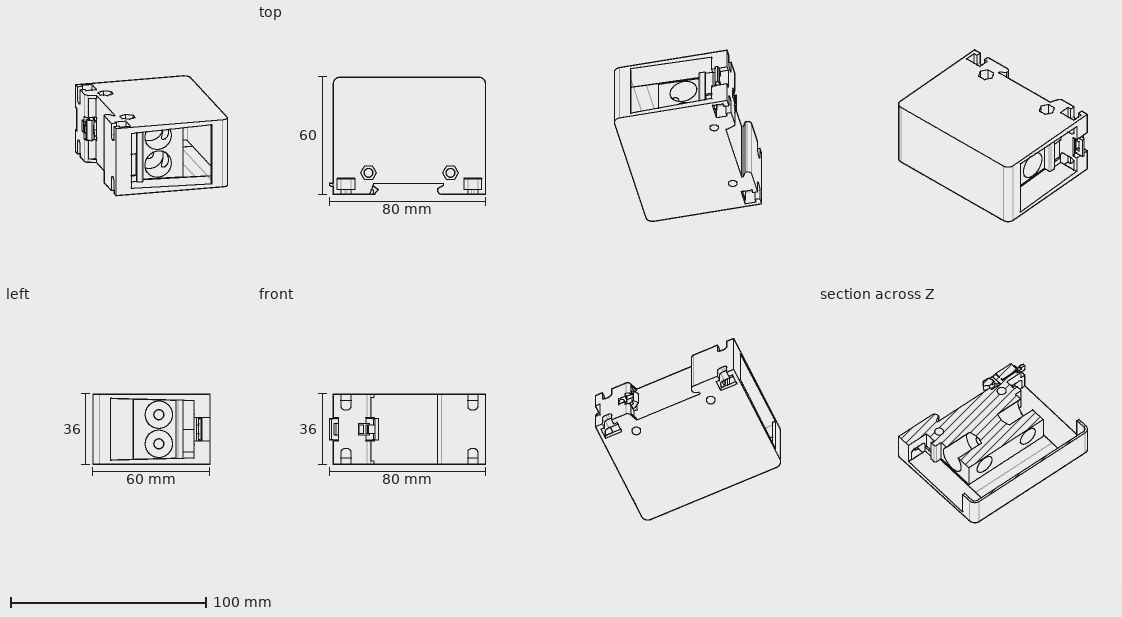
import cadquery as cq
import math

LENGTH = 78.0
HEIGHT = 60.0
WIDTH = 36.0
MID_X = LENGTH / 2
MID_Z = WIDTH / 2
LID_CORNER_R = 3.5
LID_WALL = 1.5
LID_BOTTOM = 50.85

RAIL_DEPTH = 5.45
RAIL_LEFT = 20.8
RAIL_RIGHT = 56.4
RAIL_LEFT_AT_BASE = 18.7
RAIL_HOOK_X = 53.4
RAIL_HOOK_LOW_Y = 2.95
RAIL_HOOK_HIGH_Y = 4.65
RAIL_EDGE_R = 2.0
RAIL_STOP_X = 19.35
RAIL_STOP_LIP = 1.75

CAVITY_FLOOR = 8.1
DRAFT_TOP = 52.3
SIDE_WALL_LOW = 3.3
SIDE_WALL_HIGH = 2.1
CAVITY_TOP = HEIGHT - LID_WALL

LINER_INSET = 13.4
LINER_RISE = 0.18
LINER_TAPER_START = 45.5

BLOCK_INSET = 14.0
BLOCK_TOP = 39.4
LEDGE_TOP = 17.35
LEDGE_EDGE_R = 0.85
LEDGE_LENGTH = 4.0
LEDGE_STEP_Y = 13.9
LEDGE_UPPER_Z = 17.95
LEDGE_LOWER_Z = 6.35
LEDGE_SIDE_RELIEF = 1.0
LEDGE_MID_RELIEF = 2.0

FUNNEL_Y = 26.2
FUNNEL_SPACING = 14.9
FUNNEL_R = 7.0
WIRE_R = 2.5
FUNNEL_LENGTH = 15.5
FUNNEL_CONE_LENGTH = 2.6
SHAFT_INSET = 24.5
SHAFT_R = 5.0

BOLT_X_LEFT = 18.05
BOLT_X_RIGHT = 60.0
BOLT_Y = 11.0
BOLT_D = 4.4
NUT_FLATS = 7.0
NUT_DEPTH = 6.0

FOOT_INSET = 6.55
FOOT_SLOT_WIDTH = 5.2
FOOT_SLOT_DEPTH = 8.1
FOOT_HEAD_WIDTH = 9.1
FOOT_HEAD_DEPTH = 10.1
FOOT_HEAD_LOW = 2.6
FOOT_HEAD_HIGH = 8.2
FOOT_CORNER_R = 2.0

LATCH_WIDTH = 10.8
RECESS_WIDTH = 12.0
RECESS_LEFT_END = 2.6
RECESS_RIGHT_START = 16.7
RECESS_RIGHT_END = 21.1
CHANNEL_LOW = 5.5
CHANNEL_TOP = 6.93
LATCH_REACH = 2.0
LATCH_TOP = 5.8
LATCH_BOTTOM = 4.0
LATCH_NOSE_BOTTOM = 4.6
LATCH_NOSE_LENGTH = 1.15
PRY_SLOT_START = 0.5
PRY_SLOT_WIDTH = 6.0
LATCH_OVERLAP = 0.5
TIP_LOW = -0.05
TIP_UNDERSIDE = 2.1
TIP_LIP_START = 20.5
TIP_LIP_END = 21.35
TIP_LIP_ROUNDING = 0.4
TIP_POINT_X = 23.15
TIP_POINT_Y = 2.5
TIP_TOP = 4.3
TIP_TOP_X = 20.4

WINDOW_START = 12.95
WINDOW_END = 18.6
WINDOW_WIDTH = 6.0
SPRING_WIDTH = 4.4
SPRING_START = 4.0
SPRING_LOOP_START = 13.1
SPRING_LOOP_WIDTH = 2.5
SPRING_LOOP_CROWN_X = 14.1
SPRING_LOOP_OUTER_Y = 0.8
SPRING_LOOP_INNER_Y = 1.5
SPRING_LOOP_LOW = 0.4
TONGUE_TOP_X = 16.8
TONGUE_LOW_X = 18.0
TONGUE_BEVEL_LENGTH = 0.5
TONGUE_BEVEL_HEIGHT = 0.35


def box(x_range, y_range, z_range):
    """Axis-aligned box given by its (low, high) limits along each axis."""
    ranges = (x_range, y_range, z_range)
    size = [high - low for low, high in ranges]
    corner = tuple(low for low, high in ranges)
    return cq.Workplane("XY").box(*size, centered=False).translate(corner)


def centred_z(width):
    """Z limits of something of the given width on the middle plane."""
    return (MID_Z - width / 2, MID_Z + width / 2)


def prism(points, z_range):
    """Polygon in X and Y, extruded between two Z levels."""
    profile = cq.Workplane("XY").workplane(offset=z_range[0]).polyline(points).close()
    return profile.extrude(z_range[1] - z_range[0])


def mirror_ends(shape):
    """Shape together with its mirror image at the other end of the housing."""
    return shape.union(shape.mirror("YZ", (MID_X, 0, 0)))


def mirror_sides(shape):
    """Shape together with its mirror image at the other side of the housing."""
    return shape.union(shape.mirror("XY", (0, 0, MID_Z)))


def make_shell():
    shell = prism(
        [
            (0, 0),
            (RAIL_LEFT_AT_BASE, 0),
            (RAIL_LEFT, RAIL_DEPTH),
            (RAIL_RIGHT, RAIL_DEPTH),
            (RAIL_RIGHT, RAIL_HOOK_HIGH_Y),
            (RAIL_HOOK_X, RAIL_HOOK_LOW_Y),
            (RAIL_HOOK_X, 0),
            (LENGTH, 0),
            (LENGTH, HEIGHT),
            (0, HEIGHT),
        ],
        (0, WIDTH),
    )
    for x in (RAIL_LEFT_AT_BASE, RAIL_HOOK_X):
        shell = shell.edges(cq.selectors.NearestToPointSelector((x, 0, MID_Z))).fillet(RAIL_EDGE_R)
    shell = shell.edges("|Z and >Y").fillet(LID_CORNER_R)
    rail_stop = box(
        (RAIL_STOP_X, RAIL_LEFT),
        (0, RAIL_DEPTH),
        (RAIL_STOP_LIP, WIDTH - RAIL_STOP_LIP),
    )
    return shell.cut(rail_stop)


def make_cavity():
    """Open-ended interior: drafted walls below, straight walls under the lid."""
    draft_profile = [
        (CAVITY_FLOOR, SIDE_WALL_LOW),
        (DRAFT_TOP, SIDE_WALL_HIGH),
        (DRAFT_TOP, WIDTH - SIDE_WALL_HIGH),
        (CAVITY_FLOOR, WIDTH - SIDE_WALL_LOW),
    ]
    straight_sides = (SIDE_WALL_HIGH, WIDTH - SIDE_WALL_HIGH)
    interior = cq.Workplane("YZ").polyline(draft_profile).close().extrude(LENGTH)
    interior = interior.union(box((0, LENGTH), (DRAFT_TOP, CAVITY_TOP), straight_sides))
    below_lid = box((0, LENGTH), (0, LID_BOTTOM), (0, WIDTH))
    inside_lid = box((LID_WALL, LENGTH - LID_WALL), (LID_BOTTOM, CAVITY_TOP), (0, WIDTH))
    inside_lid = inside_lid.edges("|Z and >Y").fillet(LID_CORNER_R - LID_WALL)
    cavity = interior.intersect(below_lid.union(inside_lid))
    block = box((BLOCK_INSET, LENGTH - BLOCK_INSET), (0, BLOCK_TOP), (0, WIDTH))
    return cavity.cut(block).cut(mirror_ends(make_ledge())).cut(make_liner_pads())


def make_liner_pads():
    """Side-wall pads of constant rise that fade out between the taper start and the lid."""
    draft = (SIDE_WALL_LOW - SIDE_WALL_HIGH) / (DRAFT_TOP - CAVITY_FLOOR)
    wall_at_taper = SIDE_WALL_HIGH + draft * (DRAFT_TOP - LINER_TAPER_START)
    fade = (CAVITY_TOP - DRAFT_TOP) / (CAVITY_TOP - LINER_TAPER_START)
    profile = [
        (CAVITY_FLOOR, LID_WALL),
        (CAVITY_FLOOR, SIDE_WALL_LOW + LINER_RISE),
        (LINER_TAPER_START, wall_at_taper + LINER_RISE),
        (DRAFT_TOP, SIDE_WALL_HIGH + LINER_RISE * fade),
        (CAVITY_TOP, SIDE_WALL_HIGH),
        (CAVITY_TOP, LID_WALL),
    ]
    pad = cq.Workplane("YZ").workplane(offset=LINER_INSET).polyline(profile).close()
    return mirror_sides(pad.extrude(LENGTH - 2 * LINER_INSET))


def make_ledge():
    """Rounded ledge at the foot of the block face, relieved in two depths below the step."""
    face_x = BLOCK_INSET - LEDGE_LENGTH
    ledge = box((face_x, BLOCK_INSET), (0, LEDGE_TOP), (0, WIDTH))
    ledge = ledge.edges("<X and >Y").fillet(LEDGE_EDGE_R)
    side_relief = box((face_x, face_x + LEDGE_SIDE_RELIEF), (0, LEDGE_STEP_Y), (0, WIDTH))
    mid_relief = box(
        (face_x, face_x + LEDGE_MID_RELIEF),
        (0, LEDGE_STEP_Y),
        (LEDGE_LOWER_Z, LEDGE_UPPER_Z),
    )
    return ledge.cut(side_relief).cut(mid_relief)


def make_wire_passages():
    """Two funnels from each end, joined by a wire hole and reached by screw shafts."""
    z = MID_Z + FUNNEL_SPACING / 2
    cone_start = BLOCK_INSET + FUNNEL_LENGTH
    half_profile = [
        (BLOCK_INSET, 0),
        (BLOCK_INSET, FUNNEL_R),
        (cone_start, FUNNEL_R),
        (cone_start + FUNNEL_CONE_LENGTH, WIRE_R),
        (MID_X, WIRE_R),
        (MID_X, 0),
    ]
    funnel = cq.Workplane("XY").polyline(half_profile).close().revolve(360, (0, 0), (1, 0))
    funnel = funnel.translate((0, FUNNEL_Y, z))
    shaft = cq.Workplane("XZ", origin=(SHAFT_INSET, BLOCK_TOP, z)).circle(SHAFT_R)
    shaft = shaft.extrude(BLOCK_TOP - FUNNEL_Y)
    return mirror_sides(mirror_ends(funnel.union(shaft)))


def make_bolt_holes():
    places = [(BOLT_X_LEFT, BOLT_Y), (BOLT_X_RIGHT, BOLT_Y)]
    nut_corners_d = NUT_FLATS / math.cos(math.pi / 6)
    holes = cq.Workplane("XY").pushPoints(places).circle(BOLT_D / 2).extrude(WIDTH)
    nuts = cq.Workplane("XY").workplane(offset=WIDTH - NUT_DEPTH).pushPoints(places)
    return holes.union(nuts.polygon(6, nut_corners_d).extrude(NUT_DEPTH))


def make_foot_slots():
    def slot(width, depth, low, high):
        limits = (FOOT_INSET - width / 2, FOOT_INSET + width / 2)
        blank = box(limits, (low, high), (WIDTH - depth, WIDTH))
        return blank.edges("|Y and <Z").fillet(FOOT_CORNER_R)

    shank = slot(FOOT_SLOT_WIDTH, FOOT_SLOT_DEPTH, 0, FOOT_HEAD_LOW)
    head = slot(FOOT_HEAD_WIDTH, FOOT_HEAD_DEPTH, FOOT_HEAD_LOW, FOOT_HEAD_HIGH)
    return mirror_sides(mirror_ends(shank.union(head)))


def make_spring_window(end_x):
    """Window through the base and latch tip, from its start to the given X."""
    return box((WINDOW_START, end_x), (0, CHANNEL_TOP), centred_z(WINDOW_WIDTH))


def make_latch_recess():
    sides = centred_z(RECESS_WIDTH)
    left = box((0, RECESS_LEFT_END), (0, CAVITY_FLOOR), sides)
    right = box((RECESS_RIGHT_START, RECESS_RIGHT_END), (0, CHANNEL_TOP), sides)
    channel = box((RECESS_LEFT_END, RECESS_RIGHT_START), (CHANNEL_LOW, CHANNEL_TOP), sides)
    window = make_spring_window(RECESS_RIGHT_START)
    return left.union(right).union(channel).union(window)


def make_latch_handle():
    handle = prism(
        [
            (-LATCH_REACH, LATCH_NOSE_BOTTOM),
            (-LATCH_REACH + LATCH_NOSE_LENGTH, LATCH_BOTTOM),
            (RECESS_LEFT_END + LATCH_OVERLAP, LATCH_BOTTOM),
            (RECESS_LEFT_END + LATCH_OVERLAP, LATCH_TOP),
            (-LATCH_REACH, LATCH_TOP),
        ],
        centred_z(LATCH_WIDTH),
    )
    pry_slot = box(
        (PRY_SLOT_START, RECESS_LEFT_END),
        (LATCH_BOTTOM, LATCH_TOP),
        centred_z(PRY_SLOT_WIDTH),
    )
    return handle.cut(pry_slot)


def make_latch_tip():
    """Hooked tip with a round-bottomed lip, windowed around a bevelled tongue."""
    root_x = RECESS_RIGHT_START - LATCH_OVERLAP
    lip_side_y = TIP_LOW + TIP_LIP_ROUNDING
    tip = (
        cq.Workplane("XY")
        .workplane(offset=MID_Z - LATCH_WIDTH / 2)
        .moveTo(root_x, TIP_UNDERSIDE)
        .lineTo(TIP_LIP_START, TIP_UNDERSIDE)
        .lineTo(TIP_LIP_START, lip_side_y)
        .threePointArc(((TIP_LIP_START + TIP_LIP_END) / 2, TIP_LOW), (TIP_LIP_END, lip_side_y))
        .lineTo(TIP_POINT_X, TIP_POINT_Y)
        .lineTo(TIP_TOP_X, TIP_TOP)
        .lineTo(root_x, TIP_TOP)
        .close()
        .extrude(LATCH_WIDTH)
    )
    tongue_top_y = TIP_TOP - LATCH_OVERLAP
    tongue = prism(
        [
            (TONGUE_LOW_X, TIP_LOW),
            (TIP_LIP_END, TIP_LOW),
            (TIP_LIP_END, tongue_top_y),
            (TONGUE_TOP_X, tongue_top_y),
            (TONGUE_TOP_X, TIP_UNDERSIDE),
            (TONGUE_LOW_X - TONGUE_BEVEL_LENGTH, TIP_LOW + TONGUE_BEVEL_HEIGHT),
        ],
        centred_z(SPRING_WIDTH),
    )
    return tip.cut(make_spring_window(WINDOW_END)).union(tongue)


def make_latch_spring():
    """Spring arm along the channel roof, ending in a rounded loop inside the window."""
    loop_end = SPRING_LOOP_START + SPRING_LOOP_WIDTH
    loop = (
        cq.Workplane("XY")
        .workplane(offset=MID_Z - SPRING_WIDTH / 2)
        .moveTo(SPRING_LOOP_START, SPRING_LOOP_OUTER_Y)
        .threePointArc((SPRING_LOOP_CROWN_X, SPRING_LOOP_LOW), (loop_end, SPRING_LOOP_INNER_Y))
        .lineTo(loop_end, CHANNEL_TOP)
        .lineTo(SPRING_LOOP_START, CHANNEL_TOP)
        .close()
        .extrude(SPRING_WIDTH)
    )
    arm = box((SPRING_START, loop_end), (LATCH_TOP, CHANNEL_TOP), centred_z(SPRING_WIDTH))
    return arm.union(loop)


result = make_shell()
for void in (
    make_cavity(),
    make_wire_passages(),
    make_bolt_holes(),
    make_foot_slots(),
    make_latch_recess(),
):
    result = result.cut(void)
for member in (make_latch_handle(), make_latch_tip(), make_latch_spring()):
    result = result.union(member)